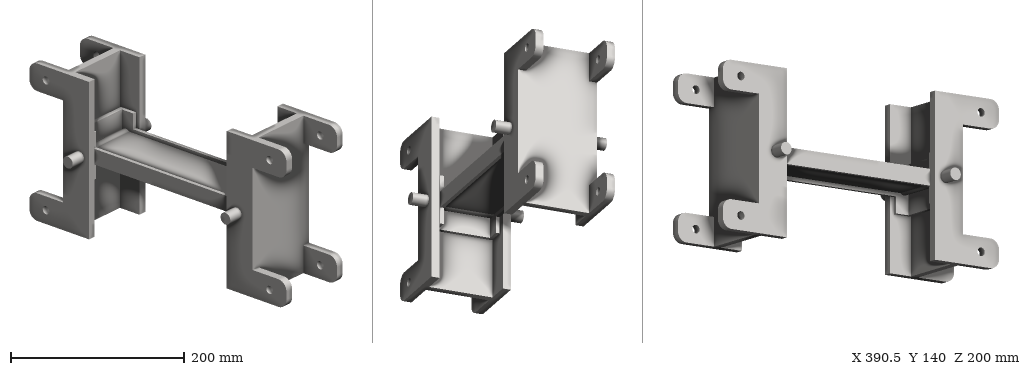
import cadquery as cq

overall_length = 390.5
bracket_height = 200.0
bracket_width = 100.0

flange_thickness = 10.0
flange_length = 90.5
lug_height = 35.0
lug_length = 51.0
lug_corner_radius = 12.0
lug_hole_diameter = 10.0
lug_hole_from_end = 25.5
web_thickness = 9.8

pin_diameter = 15.0
pin_length = 140.0
pin_spacing = 239.5

link_width = 75.0
link_side_wall = 4.5
link_end_wall = 5.5
rail_height = 20.0
floor_thickness = 10.5
end_box_height = 60.0
end_box_length = 22.5

bracket_end_x = overall_length / 2
lug_root_x = bracket_end_x - lug_length
flange_inner_x = bracket_end_x - flange_length
lug_hole_x = bracket_end_x - lug_hole_from_end
lug_hole_z = bracket_height / 2 - lug_height / 2
pin_x = pin_spacing / 2
link_length = pin_spacing + end_box_length
link_inner_length = link_length - 2 * link_end_wall
link_inner_width = link_width - 2 * link_side_wall


def cylinder_along_y(diameter, length, x, z):
    """Cylinder parallel to Y, centred on Y = 0."""
    return (
        cq.Workplane("XZ")
        .center(x, z)
        .circle(diameter / 2)
        .extrude(length)
        .translate((0, length / 2, 0))
    )


def make_bracket():
    """Bracket at the +X end, open towards the link."""
    body = cq.Workplane("XY").box(flange_length, bracket_width, bracket_height).translate(
        ((flange_inner_x + bracket_end_x) / 2, 0, 0)
    )

    lug_gap = cq.Workplane("XY").box(lug_length, bracket_width, bracket_height - 2 * lug_height)
    body = body.cut(lug_gap.translate((lug_root_x + lug_length / 2, 0, 0)))
    body = body.faces(">X").edges("|Y").fillet(lug_corner_radius)

    channel_width = bracket_width - 2 * flange_thickness
    web_inner_x = lug_root_x - web_thickness
    for x_start, x_end in ((flange_inner_x, web_inner_x), (lug_root_x, bracket_end_x)):
        channel = cq.Workplane("XY").box(x_end - x_start, channel_width, bracket_height)
        body = body.cut(channel.translate(((x_start + x_end) / 2, 0, 0)))

    for z in (-lug_hole_z, lug_hole_z):
        body = body.cut(cylinder_along_y(lug_hole_diameter, bracket_width, lug_hole_x, z))
    return body.cut(cylinder_along_y(pin_diameter, bracket_width, pin_x, 0))


def make_link():
    """Tray spanning the pins, with rails along its sides and a box at each end."""
    body = cq.Workplane("XY").box(link_length, link_width, rail_height)
    for side in (-1, 1):
        end_box = cq.Workplane("XY").box(end_box_length, link_width, end_box_height)
        body = body.union(end_box.translate((side * pin_x, 0, 0)))

    body = body.cut(cq.Workplane("XY").box(link_inner_length, link_inner_width, end_box_height))
    body = body.union(cq.Workplane("XY").box(link_inner_length, link_inner_width, floor_thickness))

    for side in (-1, 1):
        body = body.cut(cylinder_along_y(pin_diameter, link_width, side * pin_x, 0))
    return body


def make_pin(side):
    return cylinder_along_y(pin_diameter, pin_length, side * pin_x, 0)


right_bracket = make_bracket()
left_bracket = right_bracket.mirror("YZ")
link = make_link()
pins = [make_pin(side) for side in (-1, 1)]

result = cq.Compound.makeCompound(
    [left_bracket.val(), right_bracket.val(), link.val(), *[pin.val() for pin in pins]]
)